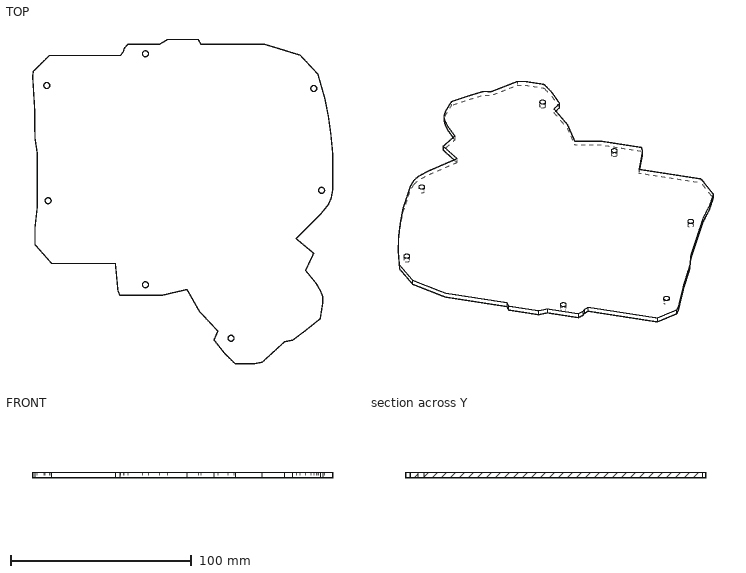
import cadquery as cq

width = 166.0
length = 179.3
thickness = 3.0

hole_diameter = 3.2
paired_hole_x = 62.4
hole_centers = [
    (paired_hole_x, 171.5),
    (7.9, 153.9),
    (155.5, 152.2),
    (159.8, 96.0),
    (8.6, 90.2),
    (paired_hole_x, 43.8),
    (109.7, 14.2),
]

shoulder_y = 170.5
upper_edge_y = 176.8
lower_left_edge_y = 55.4
tab_bottom_y = 37.8

left_edge = [
    (1.3, 66.0),
    (1.3, 75.1),
    (2.5, 86.5),
    (2.5, 116.7),
    (1.3, 124.8),
    (1.0, 141.3),
    (0, 158.9),
    (0.4, 161.7),
]

top_edge = [
    (9.3, shoulder_y),
    (48.6, shoulder_y),
    (50.2, 172.7),
    (50.5, 174.3),
    (52.7, upper_edge_y),
    (70.3, upper_edge_y),
    (74.6, length),
    (91.6, length),
    (93.0, upper_edge_y),
    (128.0, upper_edge_y),
]

right_edge = [
    (148.0, 170.7),
    (157.8, 160.1),
    (161.5, 146.9),
    (163.5, 137.2),
    (165.0, 126.8),
    (width, 115.5),
    (width, 96.7),
    (165.2, 91.6),
    (163.5, 88.0),
    (159.2, 82.7),
    (145.8, 69.2),
]

lower_lobe = [
    (155.5, 61.1),
    (151.0, 51.6),
    (156.7, 44.7),
    (159.2, 40.3),
    (160.5, 37.1),
    (160.5, 33.7),
    (159.0, 25.0),
    (151.0, 18.5),
    (143.8, 13.1),
    (139.3, 12.2),
    (127.0, 0.9),
    (122.5, 0),
    (112.0, 0),
    (106.2, 5.7),
    (100.2, 13.3),
    (102.4, 18.1),
    (92.2, 29.0),
    (85.4, 41.0),
]

bottom_edge = [
    (71.5, tab_bottom_y),
    (48.2, tab_bottom_y),
    (47.2, 40.3),
    (45.7, lower_left_edge_y),
    (10.5, lower_left_edge_y),
]

outline = left_edge + top_edge + right_edge + lower_lobe + bottom_edge


def make_plate():
    return cq.Workplane("XY").polyline(outline).close().extrude(thickness)


def make_holes():
    return cq.Workplane("XY").pushPoints(hole_centers).circle(hole_diameter / 2).extrude(thickness)


result = make_plate().cut(make_holes())